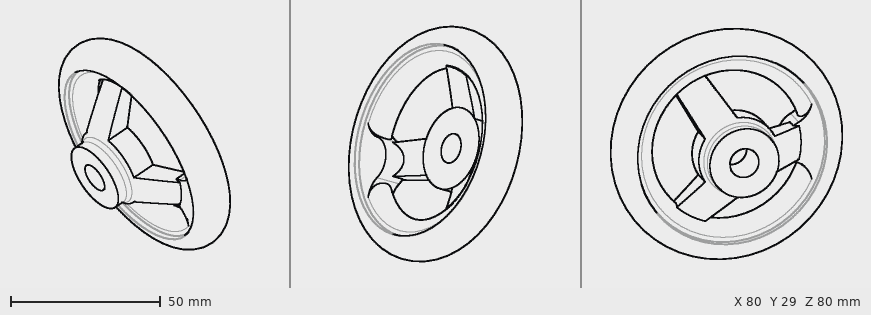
import cadquery as cq
import math


rim_outer_radius = 40.0
rim_inner_radius = 26.0
rim_thickness = 14.0
rim_mid_height = rim_thickness / 2
grip_section_radius = rim_thickness / 2
grip_center_radius = rim_outer_radius - grip_section_radius
bead_section_radius = 5.0
bead_center_radius = rim_inner_radius + bead_section_radius
bead_rear = rim_mid_height - bead_section_radius
bead_front = rim_mid_height + bead_section_radius
step_radius = 32.75
step_fillet = 0.24

total_depth = 29.0
bore_radius = 5.0
hub_radius = 14.0
hub_rear = rim_thickness
neck_radius = 12.0
neck_fillet = 2.5
cone_apex_height = 36.5

spoke_count = 3
spoke_half_width_at_axis = 7.1
spoke_side_taper = 3.0
spoke_foot_radius = 26.2
spoke_foot_rear = 4.8
spoke_tip_radius = 30.0

lug_radius = 8.0
lug_center_x = 27.2
blend_radius = 8.5
blend_reach_x = 28.3

match_tolerance = 1e-4


def cone_height(radius):
    """Height of the 45 degree front cone at a given radius."""
    return cone_apex_height - radius


def revolve_about_axis(profile):
    """Turn a closed (radius, height) profile about the wheel axis."""
    body = profile.close().revolve(360, (0, 0, 0), (0, 1, 0))
    return body.rotate((0, 0, 0), (1, 0, 0), 90).rotate((0, 0, 0), (0, 0, 1), 90)


def circles_of_radius(body, radius):
    """Select the circular edges that have a given radius."""
    return body.edges("%CIRCLE").filter(lambda edge: abs(edge.radius() - radius) < match_tolerance)


def make_rim():
    profile = (
        cq.Workplane("XY")
        .moveTo(bead_center_radius, bead_rear)
        .threePointArc((rim_inner_radius, rim_mid_height), (bead_center_radius, bead_front))
        .lineTo(step_radius, bead_front)
        .lineTo(step_radius, rim_thickness)
        .lineTo(grip_center_radius, rim_thickness)
        .threePointArc((rim_outer_radius, rim_mid_height), (grip_center_radius, 0))
        .lineTo(step_radius, 0)
        .lineTo(step_radius, bead_rear)
    )
    rim = revolve_about_axis(profile)
    return circles_of_radius(rim, step_radius).fillet(step_fillet)


def make_hub_and_web():
    """Hub with a full web around it, its front and rear faces lying on cones."""
    profile = (
        cq.Workplane("XY")
        .moveTo(0, hub_rear)
        .lineTo(hub_radius, hub_rear)
        .lineTo(spoke_foot_radius, spoke_foot_rear)
        .lineTo(spoke_tip_radius, spoke_foot_rear)
        .lineTo(spoke_tip_radius, cone_height(spoke_tip_radius))
        .lineTo(neck_radius, cone_height(neck_radius))
        .lineTo(neck_radius, total_depth)
        .lineTo(0, total_depth)
    )
    body = revolve_about_axis(profile)
    return circles_of_radius(body, neck_radius).edges("<Z").fillet(neck_fillet)


def make_spider_outline():
    """Prism over the outline of the hub and its tapered arms."""
    taper = math.tan(math.radians(spoke_side_taper))
    tip_half_width = spoke_half_width_at_axis - rim_outer_radius * taper
    arm = (
        cq.Workplane("XY")
        .moveTo(0, -spoke_half_width_at_axis)
        .lineTo(rim_outer_radius, -tip_half_width)
        .lineTo(rim_outer_radius, tip_half_width)
        .lineTo(0, spoke_half_width_at_axis)
        .close()
        .extrude(total_depth)
    )
    outline = cq.Workplane("XY").circle(hub_radius).extrude(total_depth)
    for index in range(spoke_count):
        angle = index * 360 / spoke_count
        outline = outline.union(arm.rotate((0, 0, 0), (0, 0, 1), angle))
    return outline


def make_lug():
    blend_center_x = blend_reach_x - blend_radius
    center_gap_x = lug_center_x - blend_center_x
    center_distance = lug_radius + blend_radius
    blend_center_y = math.sqrt(center_distance**2 - center_gap_x**2)

    tangent_x = lug_center_x - lug_radius * center_gap_x / center_distance
    tangent_y = lug_radius * blend_center_y / center_distance

    wheel_distance = math.hypot(blend_center_x, blend_center_y)
    wall_angle_cosine = (wheel_distance**2 + grip_center_radius**2 - blend_radius**2) / (
        2 * wheel_distance * grip_center_radius
    )
    wall_angle = math.atan2(blend_center_y, blend_center_x) - math.acos(wall_angle_cosine)
    wall_x = grip_center_radius * math.cos(wall_angle)
    wall_y = grip_center_radius * math.sin(wall_angle)
    return (
        cq.Workplane("XY")
        .workplane(offset=bead_rear)
        .moveTo(wall_x, -wall_y)
        .threePointArc((grip_center_radius, 0), (wall_x, wall_y))
        .threePointArc((blend_reach_x, blend_center_y), (tangent_x, tangent_y))
        .threePointArc((lug_center_x - lug_radius, 0), (tangent_x, -tangent_y))
        .threePointArc((blend_reach_x, -blend_center_y), (wall_x, -wall_y))
        .close()
        .extrude(bead_front - bead_rear)
    )


spider = make_hub_and_web().intersect(make_spider_outline())
bore = cq.Workplane("XY").circle(bore_radius).extrude(total_depth)
wheel = make_rim().union(make_lug()).union(spider).cut(bore)

result = wheel.rotate((0, 0, 0), (1, 0, 0), 90)